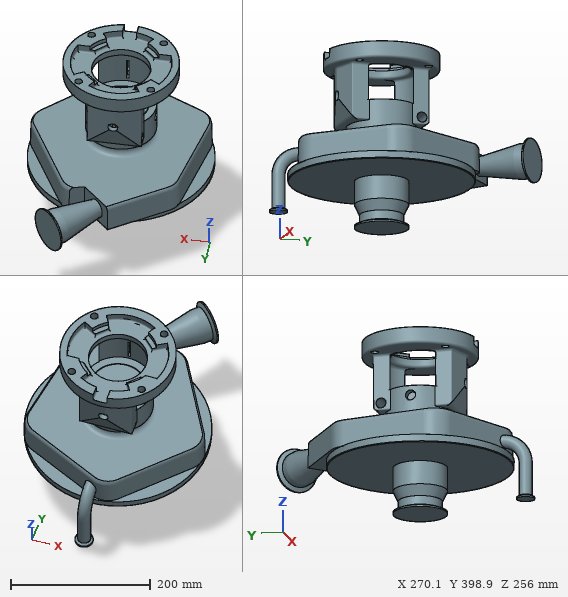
import cadquery as cq
import math


PLATE_R = 135.05
PLATE_BOTTOM = 68.5
PLATE_TOP = 80.0
PLATE_CHAMFER = 1.0

INLET_R = 39.3
INLET_STEP_Z = 34.0
INLET_NECK_R = 32.0
INLET_NECK_Z = 18.5
INLET_FERRULE_R = 39.4
FERRULE_RIM = 2.5
FERRULE_CONE = 3.0

CASING_TOP = 120.5
SIDE_OUTLET = (126.2, 139.0)
SIDE_LEFT = (170.2, 115.0)
SIDE_FRONT_LEFT = (244.2, 114.5)
SIDE_FRONT_RIGHT = (315.5, 115.0)
SIDE_RIGHT = (28.4, 115.7)
SIDE_REAR = (80.0, 138.5)
CASING_DRAFT = 1.0
CASING_CORNER_R = 32.7
SHOULDER_R = 8.8
SHOULDER_TRIM = 2.0
MOUTH_APEX = (31.0, 124.0)
MOUTH_FLOOR_ANGLE = 16.0
MOUTH_STOCK = 10.0
CUT_REACH = 239.5

OUTLET_ANGLE = 45.0
OUTLET_OFFSET = 95.8
OUTLET_Z = 101.5
OUTLET_START = 95.8
OUTLET_CONE_START = 113.0
OUTLET_CONE_END = 176.8
OUTLET_END = 194.7
OUTLET_ROOT_R = 14.5
OUTLET_R = 26.0
OUTLET_FERRULE_R = 32.5

DRAIN_R = 9.5
DRAIN_Y = -157.5
DRAIN_BEND_R = 34.5
DRAIN_BEND_Z = 64.0
DRAIN_BOTTOM = 9.5
DRAIN_INSIDE_Y = -99.8
DRAIN_FERRULE_R = 13.0
DRAIN_RIM = 2.5
DRAIN_CONE = 2.5

HUB_NECK_R = 45.5
HUB_FILLET_R = 9.5
HUB_R = 51.27
HUB_BOTTOM = 136.0
HUB_TOP = 178.5
HUB_RECESS_R = 40.0
HUB_RECESS_DEPTH = 1.0
HUB_HOLE_R = 7.4
HUB_HOLE_Z = 164.0
HUB_HOLE_DEPTH = 11.0

FLANGE_R = 83.8
FLANGE_TOP = 256.0
FLANGE_BOTTOM = 232.0
FLANGE_FILLET_R = 3.5
FLANGE_BORE_R = 42.5
BOLT_OFFSET = 52.5
BOLT_HOLE_R = 5.4
POCKET_R = 69.5
POCKET_SIDE_R = 73.0
POCKET_SIDE_HALF_WIDTH = 44.0
POCKET_DEPTH = 12.0
POCKET_FILLET_R = 2.5
SLOT_HALF_WIDTH = 10.5
REGISTER_R = 57.0
REGISTER_DEPTH = 6.8
POST_FACE = 49.5
POST_HALF_WIDTH = 11.0
POST_FLARE = 15.0
POST_WIDE_FLARE = 45.0

LEG_HALF_WIDTH = 39.3
LEG_OUTER_Y = 69.23
LEG_RIDGE_HALF_WIDTH = 3.0
LEG_SLOPE = math.tan(math.radians(16.5))
LEG_INNER_R = 52.07
LEG_BOTTOM = 148.0
LEG_TAPER_Z = 187.5
LEG_BOTTOM_R = 9.5
LEG_CORNER_R = 2.0
LEG_ROOT_R = 4.0
LEG_HOLE_R = 7.0
LEG_HOLE_Z = 190.5
LEG_HOLE_FLOOR_Y = 60.0
LEG_SLIT_WIDTH = 3.5
LEG_SLIT_TOP = 215.5
CROSS_HOLE_R = 7.4
CROSS_HOLE_Y = 47.5
CROSS_HOLE_Z = 159.2


def disc(radius, z_low, z_high):
    return cq.Workplane("XY", origin=(0, 0, z_low)).circle(radius).extrude(z_high - z_low)


def revolved(profile):
    """Revolve (radius, height) points, closed along the axis, about Z."""
    outline = [(0, profile[0][1])] + profile + [(0, profile[-1][1])]
    return cq.Workplane("XZ").polyline(outline).close().revolve(360, (0, 0, 0), (0, 1, 0))


def side_crossing(side_a, side_b):
    """Point where two casing sides meet."""
    angle_a, dist_a = math.radians(side_a[0]), side_a[1]
    angle_b, dist_b = math.radians(side_b[0]), side_b[1]
    spread = math.sin(angle_b - angle_a)
    x = (dist_a * math.sin(angle_b) - dist_b * math.sin(angle_a)) / spread
    y = (dist_b * math.cos(angle_a) - dist_a * math.cos(angle_b)) / spread
    return (x, y)


def polar(origin, length, degrees):
    angle = math.radians(degrees)
    return (origin[0] + length * math.cos(angle), origin[1] + length * math.sin(angle))


def make_casing():
    sides = [SIDE_OUTLET, SIDE_LEFT, SIDE_FRONT_LEFT, SIDE_FRONT_RIGHT, SIDE_RIGHT, SIDE_REAR]
    corners = [side_crossing(a, b) for a, b in zip(sides, sides[1:])]
    outlet_face = MOUTH_APEX[0] * math.cos(math.radians(OUTLET_ANGLE))
    outlet_face += MOUTH_APEX[1] * math.sin(math.radians(OUTLET_ANGLE))
    blank_end = (OUTLET_ANGLE, outlet_face + MOUTH_STOCK)
    trimmed = [side_crossing(SIDE_REAR, blank_end), side_crossing(blank_end, SIDE_OUTLET)]

    blank_top = CASING_TOP + SHOULDER_TRIM
    height = blank_top - PLATE_TOP
    base = cq.Workplane("XY", origin=(0, 0, PLATE_TOP))
    casing = base.polyline(corners + trimmed).close().extrude(height, taper=CASING_DRAFT)
    for x, y in corners:
        nearest = cq.selectors.NearestToPointSelector((x, y, PLATE_TOP + height / 2))
        casing = casing.edges("not #Z").edges(nearest).fillet(CASING_CORNER_R)
    casing = casing.faces(">Z").edges("<Y").fillet(SHOULDER_R)
    casing = casing.cut(disc(CUT_REACH, CASING_TOP, blank_top))

    mouth = [
        MOUTH_APEX,
        polar(MOUTH_APEX, CUT_REACH, MOUTH_FLOOR_ANGLE),
        polar(MOUTH_APEX, CUT_REACH, OUTLET_ANGLE + 90),
    ]
    return casing.cut(base.polyline(mouth).close().extrude(height))


def make_inlet():
    return revolved([
        (INLET_FERRULE_R, 0),
        (INLET_FERRULE_R, FERRULE_RIM),
        (INLET_NECK_R, FERRULE_RIM + FERRULE_CONE),
        (INLET_NECK_R, INLET_NECK_Z),
        (INLET_R, INLET_STEP_Z),
        (INLET_R, PLATE_BOTTOM),
    ])


def make_outlet():
    nozzle = revolved([
        (OUTLET_ROOT_R, OUTLET_START),
        (OUTLET_ROOT_R, OUTLET_CONE_START),
        (OUTLET_R, OUTLET_CONE_END),
        (OUTLET_R, OUTLET_END - FERRULE_RIM - FERRULE_CONE),
        (OUTLET_FERRULE_R, OUTLET_END - FERRULE_RIM),
        (OUTLET_FERRULE_R, OUTLET_END),
    ])
    nozzle = nozzle.rotate((0, 0, 0), (0, 1, 0), 90)
    return nozzle.translate((0, OUTLET_OFFSET, OUTLET_Z)).rotate((0, 0, 0), (0, 0, 1), OUTLET_ANGLE)


def make_drain():
    bend_y = DRAIN_Y + DRAIN_BEND_R
    bend_mid = polar((bend_y, DRAIN_BEND_Z), DRAIN_BEND_R, 135)
    path = (
        cq.Workplane("YZ")
        .moveTo(DRAIN_Y, DRAIN_BOTTOM)
        .lineTo(DRAIN_Y, DRAIN_BEND_Z)
        .threePointArc(bend_mid, (bend_y, DRAIN_BEND_Z + DRAIN_BEND_R))
        .lineTo(DRAIN_INSIDE_Y, DRAIN_BEND_Z + DRAIN_BEND_R)
    )
    pipe = cq.Workplane("XY", origin=(0, DRAIN_Y, DRAIN_BOTTOM)).circle(DRAIN_R).sweep(path)
    ferrule = revolved([
        (DRAIN_FERRULE_R, 0),
        (DRAIN_FERRULE_R, DRAIN_RIM),
        (DRAIN_R, DRAIN_RIM + DRAIN_CONE),
    ])
    return pipe.union(ferrule.translate((0, DRAIN_Y, DRAIN_BOTTOM)))


def make_hub():
    foot_r = HUB_NECK_R + HUB_FILLET_R
    foot_mid = polar((foot_r, CASING_TOP + HUB_FILLET_R), HUB_FILLET_R, 225)
    hub = (
        cq.Workplane("XZ")
        .moveTo(0, CASING_TOP)
        .lineTo(foot_r, CASING_TOP)
        .threePointArc(foot_mid, (HUB_NECK_R, CASING_TOP + HUB_FILLET_R))
        .lineTo(HUB_NECK_R, HUB_BOTTOM)
        .lineTo(HUB_R, HUB_BOTTOM)
        .lineTo(HUB_R, HUB_TOP)
        .lineTo(0, HUB_TOP)
        .close()
        .revolve(360, (0, 0, 0), (0, 1, 0))
    )
    hub = hub.cut(disc(HUB_RECESS_R, HUB_TOP - HUB_RECESS_DEPTH, HUB_TOP))
    side_hole = cq.Workplane("YZ", origin=(-HUB_R, 0, HUB_HOLE_Z)).circle(HUB_HOLE_R).extrude(HUB_HOLE_DEPTH)
    return hub.cut(side_hole)


def make_post(diagonal, flare_before, flare_after):
    """Post left standing in the pocket, flaring outward on either side of a diagonal."""
    face_low = (POST_FACE, -POST_HALF_WIDTH)
    face_high = (POST_FACE, POST_HALF_WIDTH)
    outline = [
        face_low,
        polar(face_low, FLANGE_R, -flare_before),
        polar(face_high, FLANGE_R, flare_after),
        face_high,
    ]
    post = cq.Workplane("XY", origin=(0, 0, FLANGE_TOP - POCKET_DEPTH))
    post = post.polyline(outline).close().extrude(POCKET_DEPTH)
    return post.rotate((0, 0, 0), (0, 0, 1), diagonal)


def make_flange():
    flange = disc(FLANGE_R, FLANGE_BOTTOM, FLANGE_TOP).cut(disc(FLANGE_BORE_R, FLANGE_BOTTOM, FLANGE_TOP))
    flange = flange.faces("<Z").edges().fillet(FLANGE_FILLET_R)

    pocket_floor = FLANGE_TOP - POCKET_DEPTH
    side_band = cq.Workplane("XY", origin=(0, 0, pocket_floor))
    side_band = side_band.rect(2 * FLANGE_R, 2 * POCKET_SIDE_HALF_WIDTH).extrude(POCKET_DEPTH)
    pocket = disc(POCKET_R, pocket_floor, FLANGE_TOP)
    pocket = pocket.union(disc(POCKET_SIDE_R, pocket_floor, FLANGE_TOP).intersect(side_band))
    slot_length = FLANGE_R + 4
    slot = cq.Workplane("XY", origin=(0, -slot_length / 2, pocket_floor))
    pocket = pocket.union(slot.rect(2 * SLOT_HALF_WIDTH, slot_length).extrude(POCKET_DEPTH))
    for diagonal, before, after in [
        (45, POST_FLARE, POST_FLARE),
        (135, POST_FLARE, POST_FLARE),
        (225, POST_WIDE_FLARE, POST_FLARE),
        (315, POST_FLARE, POST_WIDE_FLARE),
    ]:
        pocket = pocket.cut(make_post(diagonal, before, after))
    pocket = pocket.faces("<Z").edges().fillet(POCKET_FILLET_R)

    flange = flange.cut(pocket)
    flange = flange.cut(disc(REGISTER_R, FLANGE_TOP - REGISTER_DEPTH, FLANGE_TOP))
    bolts = cq.Workplane("XY", origin=(0, 0, FLANGE_BOTTOM))
    bolts = bolts.rect(2 * BOLT_OFFSET, 2 * BOLT_OFFSET, forConstruction=True).vertices()
    return flange.cut(bolts.circle(BOLT_HOLE_R).extrude(FLANGE_TOP - FLANGE_BOTTOM))


def make_leg():
    """Leg on the +Y side: ridged outside, tapered at the foot, hollowed by the hub."""
    side_y = LEG_OUTER_Y - (LEG_HALF_WIDTH - LEG_RIDGE_HALF_WIDTH) * LEG_SLOPE
    section = [
        (-LEG_HALF_WIDTH, 0),
        (LEG_HALF_WIDTH, 0),
        (LEG_HALF_WIDTH, side_y),
        (LEG_RIDGE_HALF_WIDTH, LEG_OUTER_Y),
        (-LEG_RIDGE_HALF_WIDTH, LEG_OUTER_Y),
        (-LEG_HALF_WIDTH, side_y),
    ]
    blank = cq.Workplane("XY", origin=(0, 0, LEG_BOTTOM))
    leg = blank.polyline(section).close().extrude(FLANGE_BOTTOM - LEG_BOTTOM)
    for side in ("<X", ">X"):
        leg = leg.faces(side).edges("|Z and >Y").fillet(LEG_CORNER_R)

    foot_y = LEG_OUTER_Y - (LEG_TAPER_Z - LEG_BOTTOM) * LEG_SLOPE
    envelope = (
        cq.Workplane("YZ", origin=(-LEG_HALF_WIDTH, 0, 0))
        .polyline([
            (0, LEG_BOTTOM),
            (foot_y, LEG_BOTTOM),
            (LEG_OUTER_Y, LEG_TAPER_Z),
            (LEG_OUTER_Y, FLANGE_BOTTOM),
            (0, FLANGE_BOTTOM),
        ])
        .close()
        .extrude(2 * LEG_HALF_WIDTH)
    )
    envelope = envelope.faces("<Z").edges(">Y").fillet(LEG_BOTTOM_R)
    height = FLANGE_BOTTOM - LEG_BOTTOM
    front = cq.Workplane("XY", origin=(0, 0, LEG_BOTTOM)).box(
        2 * LEG_HALF_WIDTH, LEG_OUTER_Y, height, centered=(True, False, False)
    )
    front = front.faces("<Z").edges("|Y").fillet(LEG_CORNER_R)
    leg = leg.intersect(envelope).intersect(front)
    leg = leg.cut(disc(LEG_INNER_R, HUB_TOP, FLANGE_BOTTOM))
    leg = leg.cut(disc(HUB_RECESS_R, LEG_BOTTOM, HUB_TOP))

    hole = cq.Workplane("XZ", origin=(0, LEG_OUTER_Y, LEG_HOLE_Z)).circle(LEG_HOLE_R)
    leg = leg.cut(hole.extrude(LEG_OUTER_Y - LEG_HOLE_FLOOR_Y))
    slit_bottom = LEG_HOLE_Z - LEG_HOLE_R
    slit = cq.Workplane("XY").box(
        LEG_SLIT_WIDTH, LEG_HOLE_FLOOR_Y, LEG_SLIT_TOP - slit_bottom, centered=(True, False, False)
    )
    return leg.cut(slit.translate((0, 0, slit_bottom)))


def make_lantern():
    """Motor flange with both legs, rounded where the legs meet it."""
    leg = make_leg()
    lantern = make_flange().union(leg).union(leg.rotate((0, 0, 0), (0, 0, 1), 180))
    margin = LEG_ROOT_R / 2
    for sign in (-1, 1):
        near = (-LEG_HALF_WIDTH - margin, sign * margin, FLANGE_BOTTOM - margin)
        far = (LEG_HALF_WIDTH + margin, sign * (LEG_OUTER_Y + margin), FLANGE_BOTTOM + margin)
        root = cq.selectors.BoxSelector(near, far, boundingbox=True)
        lantern = lantern.edges(root).fillet(LEG_ROOT_R)
    return lantern


plate = disc(PLATE_R, PLATE_BOTTOM, PLATE_TOP).faces("<Z").edges().chamfer(PLATE_CHAMFER)
result = plate.union(make_casing()).union(make_inlet()).union(make_outlet())
result = result.union(make_drain()).union(make_hub()).union(make_lantern())

cross_hole = cq.Workplane("YZ", origin=(-LEG_HALF_WIDTH, CROSS_HOLE_Y, CROSS_HOLE_Z)).circle(CROSS_HOLE_R)
result = result.cut(cross_hole.extrude(2 * LEG_HALF_WIDTH))